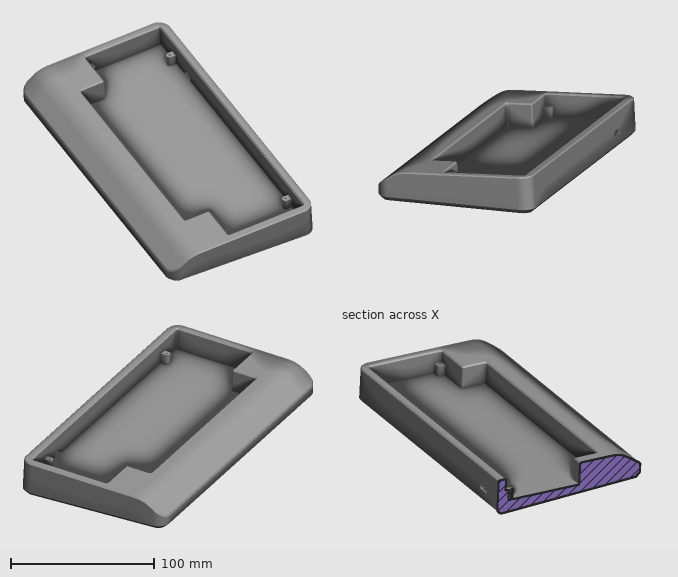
import cadquery as cq
import math


width = 224.5
depth = 115.9
height = 27.0
tilt = 3.0
palm_slope = 36.0
front_edge_height = 10.0
palm_radius = 23.0
corner_radius = 9.0
top_chamfer = 1.0
base_chamfer = 3.1

wall_half_width = 106.0
notch_half_width = 77.2
pocket_rear = 108.5
step_front = 49.0
notch_front = 29.9
pocket_depth = 17.0
pocket_corner_radius = 1.1
rim_chamfer = 1.0

post_radius = 2.5
post_height = 8.0
screw_diameter = 1.6
rear_post_x = 85.5
rear_post_y = 104.9
front_post_x = 102.8
front_post_y = 52.0
wall_overlap = 1.1

cable_x = -66.7
cable_width = 9.0
cable_height = 4.0
cable_corner_radius = 1.3

tilt_sin = math.sin(math.radians(tilt))
tilt_cos = math.cos(math.radians(tilt))
tilt_tan = math.tan(math.radians(tilt))
palm_tan = math.tan(math.radians(palm_slope))

front_foot_y = front_edge_height * tilt_tan
rear_foot_y = depth + base_chamfer * tilt_tan
rear_top_z = height + top_chamfer * tilt_sin
rear_top_y = rear_foot_y - rear_top_z * tilt_tan
top_z_at_front = rear_top_z - rear_top_y * tilt_tan
bend_y = (top_z_at_front - front_edge_height) / (palm_tan - tilt_tan)
bend_z = front_edge_height + bend_y * palm_tan

top_plane = cq.Plane(
    origin=(0, 0, top_z_at_front),
    xDir=(1, 0, 0),
    normal=(0, -tilt_sin, tilt_cos),
)
floor_plane = cq.Plane(
    origin=top_plane.toWorldCoords((0, 0, -pocket_depth)),
    xDir=top_plane.xDir,
    normal=top_plane.zDir,
)
upright_edges = cq.selectors.ParallelDirSelector(top_plane.zDir)
front_to_back_edges = cq.selectors.ParallelDirSelector(top_plane.yDir)


def edge_near(point):
    return cq.selectors.NearestToPointSelector(point)


def make_body():
    side_outline = [
        (front_foot_y, 0),
        (rear_foot_y, 0),
        (rear_top_y, rear_top_z),
        (bend_y, bend_z),
        (0, front_edge_height),
    ]
    body = cq.Workplane("YZ").polyline(side_outline).close().extrude(width / 2, both=True)
    body = body.edges(edge_near((0, bend_y, bend_z))).fillet(palm_radius)
    body = body.edges(upright_edges).fillet(corner_radius)
    body = body.edges(edge_near((0, 0, front_edge_height))).chamfer(top_chamfer)
    return body.faces("<Z").edges().chamfer(base_chamfer)


def make_pocket():
    outline = [
        (-wall_half_width, pocket_rear),
        (-wall_half_width, step_front),
        (-notch_half_width, step_front),
        (-notch_half_width, notch_front),
        (notch_half_width, notch_front),
        (notch_half_width, step_front),
        (wall_half_width, step_front),
        (wall_half_width, pocket_rear),
    ]
    pocket = cq.Workplane(floor_plane).polyline(outline).close().extrude(pocket_depth)
    return pocket.edges(upright_edges).fillet(pocket_corner_radius)


def chamfer_rim(body):
    """Break the pocket mouth; the chamfer follows the tangent loop from its rear edge."""
    return body.edges(edge_near(top_plane.toWorldCoords((0, pocket_rear, 0)))).chamfer(rim_chamfer)


def make_rear_post(side):
    """Post with a round tip, running back into the rear wall."""
    x = side * rear_post_x
    stem_rear = pocket_rear + wall_overlap
    return (
        cq.Workplane(floor_plane)
        .moveTo(x - post_radius, stem_rear)
        .lineTo(x - post_radius, rear_post_y)
        .threePointArc((x, rear_post_y - post_radius), (x + post_radius, rear_post_y))
        .lineTo(x + post_radius, stem_rear)
        .close()
        .extrude(post_height)
    )


def make_front_post(side):
    """Post that fills a front corner of the wide part, with one round corner facing inward."""
    x = side * front_post_x
    inner_x = x - side * post_radius
    outer_x = side * (wall_half_width + wall_overlap)
    post_rear = front_post_y + post_radius
    post_front = step_front - wall_overlap
    return (
        cq.Workplane(floor_plane)
        .moveTo(inner_x, post_front)
        .lineTo(inner_x, front_post_y)
        .radiusArc((x, post_rear), side * post_radius)
        .lineTo(outer_x, post_rear)
        .lineTo(outer_x, post_front)
        .close()
        .extrude(post_height)
    )


def make_screw_holes():
    """Screw holes through the full height of the posts, ending at the pocket floor."""
    centers = []
    for side in (-1, 1):
        centers.append((side * rear_post_x, rear_post_y))
        centers.append((side * front_post_x, front_post_y))
    return cq.Workplane(floor_plane).pushPoints(centers).circle(screw_diameter / 2).extrude(post_height)


def make_cable_opening():
    """Rounded slot through the rear wall, level with the pocket floor."""
    start_y = pocket_rear - wall_overlap
    length = rear_foot_y - start_y
    return (
        cq.Workplane(floor_plane)
        .center(cable_x, start_y + length / 2)
        .rect(cable_width, length)
        .extrude(cable_height)
        .edges(front_to_back_edges)
        .fillet(cable_corner_radius)
    )


result = chamfer_rim(make_body().cut(make_pocket()))
for side in (-1, 1):
    result = result.union(make_rear_post(side)).union(make_front_post(side))
result = result.cut(make_screw_holes()).cut(make_cable_opening())